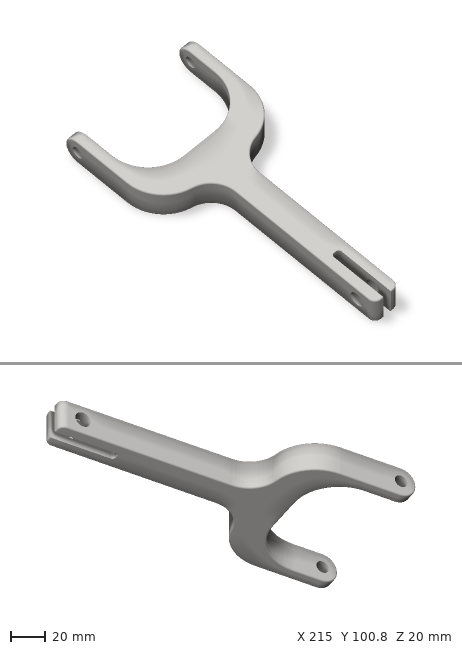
import cadquery as cq
import math

length = 215.0
fork_width = 100.8
thickness = 20.0
left = -length / 2
right = length / 2
half_fork = fork_width / 2
half_handle = thickness / 2

arm_thickness = 8.0
opening_depth = 60.0
opening_radius = 29.9
shoulder_start = 50.7
shoulder_radius = 30.0
neck_radius = 20.0
arm_end_radius = thickness / 2
arm_hole_diameter = 8.2
arm_seam_x = left + arm_end_radius

tip_radius = 5.0
slot_length = 43.0
slot_width = 6.0
slot_corner_radius = 2.2
pin_hole_diameter = 10.0
pin_hole_from_tip = 15.0

edge_fillet = 1.0

shoulder_x = left + shoulder_start
shoulder_y = half_fork - shoulder_radius
neck_y = half_handle + neck_radius
centre_distance = shoulder_radius + neck_radius
neck_x = shoulder_x + math.sqrt(centre_distance**2 - (neck_y - shoulder_y) ** 2)
joint_angle = math.atan2(neck_y - shoulder_y, neck_x - shoulder_x)


def arc_point(x, y, radius, angle):
    return (x + radius * math.cos(angle), y + radius * math.sin(angle))


def half_outline():
    """Plan outline of the +Y half, closed along the X axis."""
    quarter = math.pi / 2
    diagonal = math.pi / 4
    joint = arc_point(shoulder_x, shoulder_y, shoulder_radius, joint_angle)
    shoulder_mid = arc_point(shoulder_x, shoulder_y, shoulder_radius, (quarter + joint_angle) / 2)
    neck_mid_angle = (joint_angle + math.pi + 3 * quarter) / 2
    neck_mid = arc_point(neck_x, neck_y, neck_radius, neck_mid_angle)
    tip_mid = arc_point(right - tip_radius, half_handle - tip_radius, tip_radius, diagonal)

    opening_x = left + opening_depth
    half_opening = half_fork - arm_thickness
    opening_arc_x = opening_x - opening_radius
    opening_arc_y = half_opening - opening_radius
    opening_mid = arc_point(opening_arc_x, opening_arc_y, opening_radius, diagonal)
    return (
        cq.Workplane("XY")
        .workplane(offset=-thickness / 2)
        .moveTo(left, half_fork)
        .lineTo(shoulder_x, half_fork)
        .threePointArc(shoulder_mid, joint)
        .threePointArc(neck_mid, (neck_x, half_handle))
        .lineTo(right - tip_radius, half_handle)
        .threePointArc(tip_mid, (right, half_handle - tip_radius))
        .lineTo(right, 0)
        .lineTo(opening_x, 0)
        .lineTo(opening_x, opening_arc_y)
        .threePointArc(opening_mid, (opening_arc_x, half_opening))
        .lineTo(left, half_opening)
        .close()
    )


def cross_hole(x, diameter):
    """Cylinder along Y through the full width."""
    return cq.Workplane("XZ").center(x, 0).circle(diameter / 2).extrude(half_fork, both=True)


def arm_end_profile():
    """Side profile of the body with rounded arm ends."""
    return (
        cq.Workplane("XZ")
        .moveTo(right, thickness / 2)
        .lineTo(arm_seam_x, thickness / 2)
        .threePointArc((left, 0), (arm_seam_x, -thickness / 2))
        .lineTo(right, -thickness / 2)
        .close()
        .extrude(half_fork, both=True)
    )


def tip_slot():
    """Slot through Z, open at the handle tip, with rounded inner corners."""
    return (
        cq.Workplane("XY")
        .box(slot_length, slot_width, thickness)
        .edges("|Z and <X")
        .fillet(slot_corner_radius)
        .translate((right - slot_length / 2, 0, 0))
    )


half_body = half_outline().extrude(thickness)
body = half_body.union(half_body.mirror("XZ")).clean()
body = body.intersect(arm_end_profile())
arm_ends = cq.selectors.BoxSelector(
    (left, -fork_width, -thickness), (arm_seam_x, fork_width, thickness)
)
face_rims = body.faces("|Z").edges()
end_arcs = body.edges("%CIRCLE").edges(arm_ends)
seam_tolerance = 0.02
rim_edges = [
    edge for edge in face_rims.vals()
    if edge.Center().x > arm_seam_x + seam_tolerance
]
rim = body.newObject(rim_edges + end_arcs.vals())
body = rim.fillet(edge_fillet)

body = body.cut(tip_slot())
body = body.cut(cross_hole(arm_seam_x, arm_hole_diameter))
result = body.cut(cross_hole(right - pin_hole_from_tip, pin_hole_diameter))